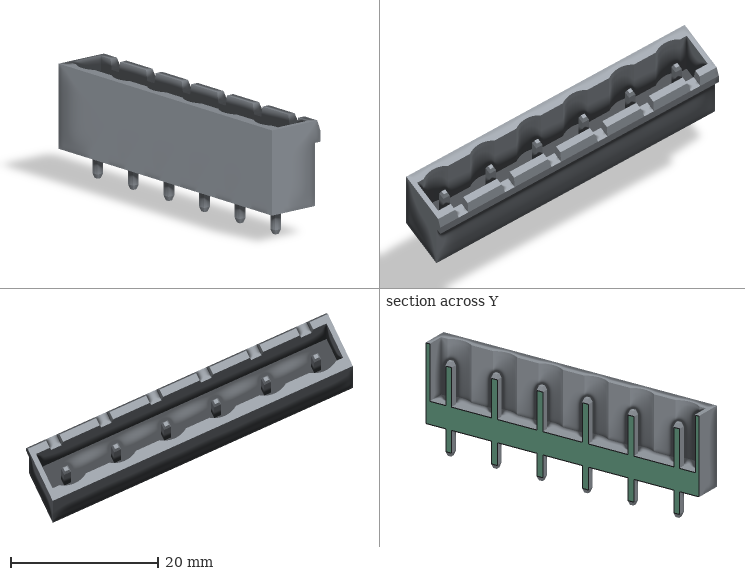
import cadquery as cq
import math


length = 45.0
body_depth = 7.6
body_height = 12.0
end_wall = 0.7
back_wall = 0.68
front_wall = 1.6
floor_thickness = 3.5

lip_overhang = 1.0
lip_height = 3.1
lip_slope_depth = 0.55
lip_slope_height = 1.5

pin_count = 6
pitch = length / pin_count
pin_width = 1.05
pin_tip_width = 0.6
pin_taper_height = 0.68
pin_length_below = 4.0
pin_top = 10.0

scallop_depth = 0.65
scallop_half_width = 2.0

notch_floor_width = 1.55
notch_top_width = 2.02
notch_depth = 1.5

back = body_depth / 2
front = -back
lip_back = back + lip_overhang
pin_positions = [(i - (pin_count - 1) / 2) * pitch for i in range(pin_count)]


def make_shell():
    """Solid body with the overhanging, sloped lip."""
    profile = [
        (front, 0),
        (back, 0),
        (back, body_height - lip_height),
        (lip_back, body_height - lip_height),
        (lip_back, body_height - lip_slope_height),
        (lip_back - lip_slope_depth, body_height),
        (front, body_height),
    ]
    return cq.Workplane("YZ").polyline(profile).close().extrude(length / 2, both=True)


def make_cavity():
    """Open-topped pocket whose front wall bulges out in an arc at each contact."""
    cavity_half = length / 2 - end_wall
    cavity_back = back - back_wall
    cavity_front = front + front_wall
    outline = cq.Workplane("XY", origin=(0, 0, floor_thickness)).moveTo(-cavity_half, cavity_back)
    outline = outline.lineTo(-cavity_half, cavity_front)
    for x in pin_positions:
        outline = outline.lineTo(x - scallop_half_width, cavity_front)
        outline = outline.threePointArc(
            (x, cavity_front - scallop_depth),
            (x + scallop_half_width, cavity_front),
        )
    outline = outline.lineTo(cavity_half, cavity_front).lineTo(cavity_half, cavity_back).close()
    return outline.extrude(body_height - floor_thickness)


def make_notch(x):
    """Notch with flared sides, running from the pin row out through the lip."""
    profile = [
        (x - notch_floor_width / 2, body_height - notch_depth),
        (x + notch_floor_width / 2, body_height - notch_depth),
        (x + notch_top_width / 2, body_height),
        (x - notch_top_width / 2, body_height),
    ]
    return cq.Workplane("XZ").polyline(profile).close().extrude(-lip_back)


def make_pin(x):
    """Square contact with a tapered tip at both ends."""
    shaft_bottom = pin_taper_height - pin_length_below
    shaft_top = pin_top - pin_taper_height
    taper_angle = math.degrees(math.atan((pin_width - pin_tip_width) / 2 / pin_taper_height))
    shaft = cq.Workplane("XY", origin=(x, 0, shaft_bottom)).rect(pin_width, pin_width)
    shaft = shaft.extrude(shaft_top - shaft_bottom)
    for face in (">Z", "<Z"):
        tip = shaft.faces(face).workplane(centerOption="CenterOfMass").rect(pin_width, pin_width)
        shaft = tip.extrude(pin_taper_height, taper=taper_angle)
    return shaft


result = make_shell().cut(make_cavity())
for pin_x in pin_positions:
    result = result.cut(make_notch(pin_x)).union(make_pin(pin_x))